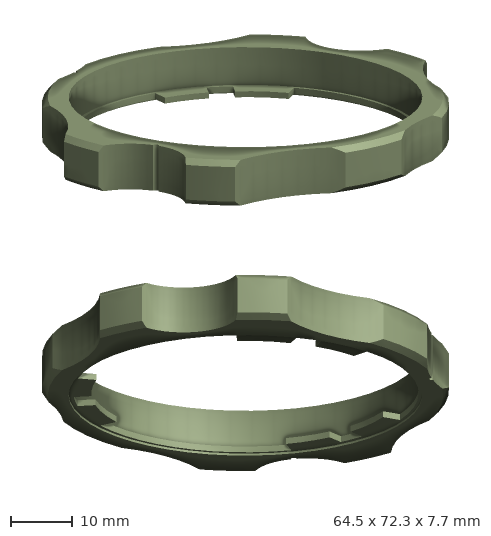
import cadquery as cq
import math

height = 7.7
bore_diameter = 57.4
end_radius = 37.0
side_radius = 33.0
lobe_chamfer = 0.95
end_lobe_width = 41.9

floor_radius = 31.3
end_flute_radius = 9.0
side_flute_radius = 26.15
diagonal_flute_radius = 24.5
notch_radius = 0.5

lip_base = 0.35
lip_thickness = 1.0
lip_radius = 28.1
tab_radius = 25.0
tab_pairs = 3
first_pair_angle = 5.3
pair_span = 47.8
gap_width = 4.3
gap_radius = 27.9
gap_offset = 0.5


def cylinder(radius, depth, x=0, y=0):
    return cq.Workplane("XY").center(x, y).circle(radius).extrude(depth)


def chamfered_disc(radius):
    return cylinder(radius, height).edges().chamfer(lobe_chamfer)


def cutter_at(distance, angle, radius):
    """Full-height round cutter with its axis in polar position."""
    direction = math.radians(angle)
    return cylinder(radius, height, distance * math.cos(direction), distance * math.sin(direction))


def flute(angle, radius):
    return cutter_at(floor_radius + radius, angle, radius)


def ring(inner_radius, depth):
    """Flat ring filling the bore out to its wall."""
    return cylinder(bore_diameter / 2, depth).cut(cylinder(inner_radius, depth))


def tab_pair(angle):
    """Radial-sided ring sector reaching into the bore, before its gap is cut."""
    half_span = math.radians(pair_span / 2)
    corner_x = bore_diameter * math.cos(half_span)
    corner_y = bore_diameter * math.sin(half_span)
    wedge = (
        cq.Workplane("XY")
        .polyline([(0, 0), (corner_x, -corner_y), (corner_x, corner_y)])
        .close()
        .extrude(lip_thickness)
    )
    return ring(tab_radius, lip_thickness).intersect(wedge).rotate((0, 0, 0), (0, 0, 1), angle)


def tab_gap(angle):
    """Parallel-sided slot that splits a tab pair in two."""
    slot = (
        cq.Workplane("XY")
        .center(gap_radius / 2, gap_offset)
        .rect(gap_radius, gap_width)
        .extrude(lip_thickness)
        .intersect(cylinder(gap_radius, lip_thickness))
    )
    return slot.rotate((0, 0, 0), (0, 0, 1), angle)


end_lobes = chamfered_disc(end_radius).intersect(
    cq.Workplane("XY").rect(end_lobe_width, 2 * end_radius).extrude(height)
)
body = chamfered_disc(side_radius).union(end_lobes)

for angle in (90, 270):
    body = body.cut(flute(angle, end_flute_radius))
for angle in (0, 180):
    body = body.cut(flute(angle, side_flute_radius))
for angle in (45, 135, 225, 315):
    body = body.cut(flute(angle, diagonal_flute_radius))
for angle in (180, 270):
    body = body.cut(cutter_at(floor_radius, angle, notch_radius))

body = body.cut(cylinder(bore_diameter / 2, height))

lip = ring(lip_radius, lip_thickness)
for index in range(tab_pairs):
    pair_angle = first_pair_angle + index * 360 / tab_pairs
    lip = lip.union(tab_pair(pair_angle).cut(tab_gap(pair_angle)))

result = body.union(lip.translate((0, 0, lip_base)))